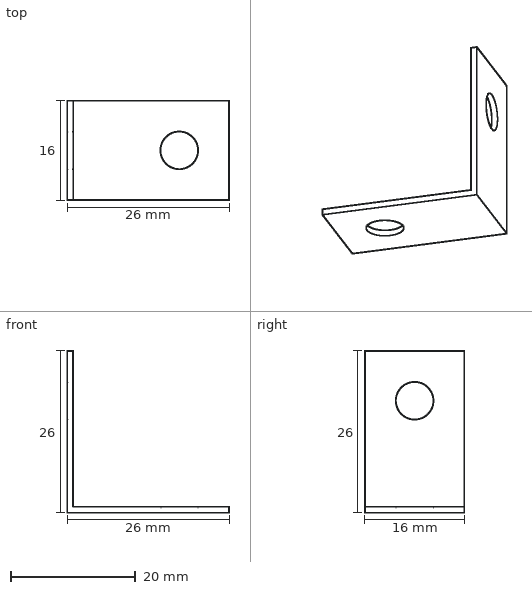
import cadquery as cq

leg_length = 26.0
width = 16.0
thickness = 1.0
hole_diameter = 6.0
hole_to_free_end = 8.0

hole_offset = leg_length - hole_to_free_end
cutter_reach = 2 * thickness


def make_angle():
    """L-section, centred across its width, with the outer corner on the Y axis."""
    base_leg = cq.Workplane("XY").box(leg_length, width, thickness, centered=(False, True, False))
    upright_leg = cq.Workplane("XY").box(thickness, width, leg_length, centered=(False, True, False))
    return base_leg.union(upright_leg)


def make_hole_cutter(center, direction):
    """Cylinder centred on a leg's outer face, reaching through the leg."""
    return cq.Workplane(
        cq.Solid.makeCylinder(
            hole_diameter / 2,
            2 * cutter_reach,
            cq.Vector(*center) - cq.Vector(*direction) * cutter_reach,
            cq.Vector(*direction),
        )
    )


base_hole = make_hole_cutter((hole_offset, 0, 0), (0, 0, 1))
upright_hole = make_hole_cutter((0, 0, hole_offset), (1, 0, 0))

result = make_angle().cut(base_hole).cut(upright_hole)